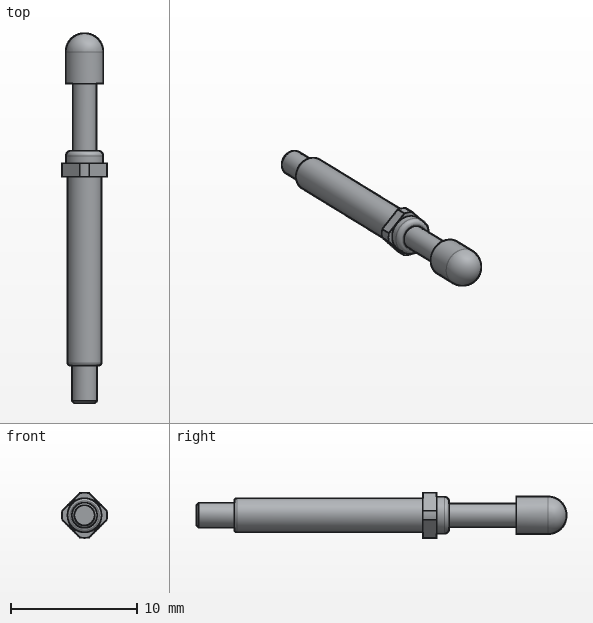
import cadquery as cq


cap_diameter = 3.0
cap_length = 4.0
shaft_diameter = 1.9
shaft_length = 5.3

collar_corner_diameter = 3.6
collar_across_flats = 3.0
collar_thickness = 1.08
hub_diameter = 2.95
hub_length = 1.0
hub_edge_radius = 0.4

barrel_diameter = 2.7
barrel_length = 14.92
barrel_edge_radius = 0.2
tail_diameter = 2.0
tail_length = 3.0
tail_chamfer = 0.2

hub_start = collar_thickness
shaft_start = hub_start + hub_length
cap_start = shaft_start + shaft_length


def cylinder(diameter, length, start):
    """Cylinder on the Y axis running toward +Y from the given station."""
    toward_plus_y = cq.Plane(origin=(0, start, 0), xDir=(1, 0, 0), normal=(0, 1, 0))
    return cq.Workplane(toward_plus_y).circle(diameter / 2).extrude(length)


def make_cap():
    """Plunger head with a full hemispherical end."""
    radius = cap_diameter / 2
    straight_length = cap_length - radius
    body = cylinder(cap_diameter, straight_length, cap_start)
    dome = cq.Workplane("XY").sphere(radius).translate((0, cap_start + straight_length, 0))
    return body.union(dome)


def make_hub():
    """Round hub above the collar, with its plunger-side rim rounded."""
    return cylinder(hub_diameter, hub_length, hub_start).faces(">Y").edges().fillet(hub_edge_radius)


def make_collar():
    """Square collar standing on its corner, with the corners turned round."""
    disc = cylinder(collar_corner_diameter, collar_thickness, 0)
    square = (
        cq.Workplane("XY")
        .box(collar_across_flats, collar_thickness, collar_across_flats)
        .rotate((0, 0, 0), (0, 1, 0), 45)
        .translate((0, collar_thickness / 2, 0))
    )
    return disc.intersect(square)


def make_barrel():
    """Barrel below the collar, with its lower rim rounded."""
    tube = cylinder(barrel_diameter, barrel_length, -barrel_length)
    return tube.faces("<Y").edges().fillet(barrel_edge_radius)


def make_tail():
    """Terminal pin at the lower end, chamfered at its tip."""
    pin = cylinder(tail_diameter, tail_length, -barrel_length - tail_length)
    return pin.faces("<Y").chamfer(tail_chamfer)


shaft = cylinder(shaft_diameter, shaft_length, shaft_start)

result = make_collar()
for section in (make_hub(), shaft, make_cap(), make_barrel(), make_tail()):
    result = result.union(section)